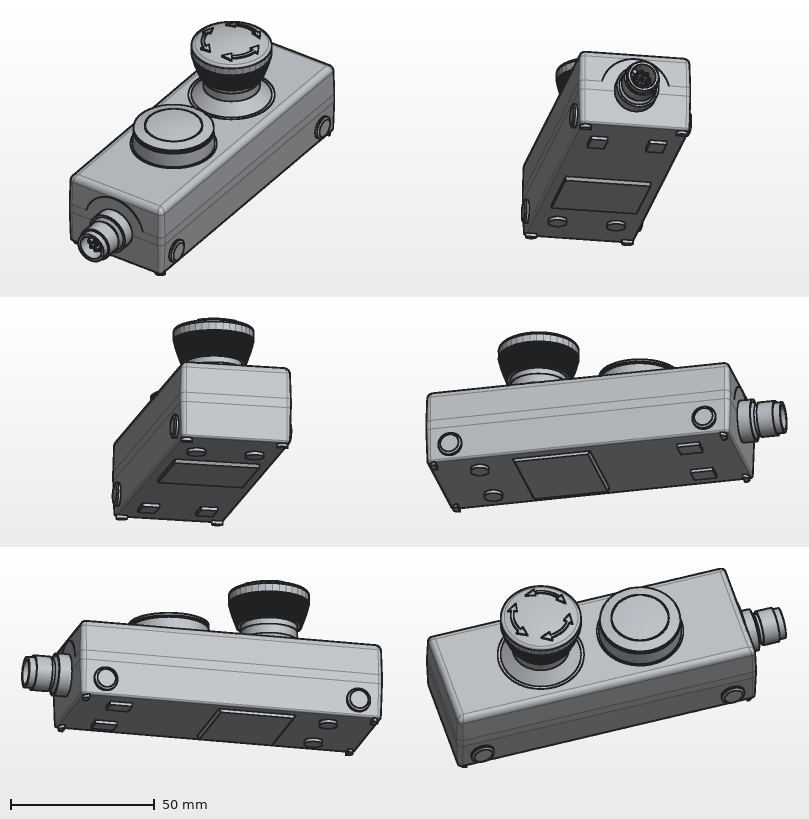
import cadquery as cq
import math

BODY_WIDTH = 39.5
BODY_LENGTH = 108.5
BODY_BOTTOM = 1.2
BAND_BOTTOM = 13.8
BAND_TOP = 17.1
BODY_TOP = 28.6
DRAFT = 2.0
CORNER_RADIUS = 1.8
TOP_FILLET = 2.3
BOTTOM_FILLET = 0.7

CONNECTOR_Z = 14.0
CONNECTOR_LENGTH = 14.7
HOOD_RADIUS = 12.2
FLANGE_LENGTH = 4.4
FLANGE_DIA = 14.8
FLANGE_CONE_DIA = 13.2
NECK_DIA = 10.6
NECK_START = 5.4
THREAD_DIA = 12.2
THREAD_START = 6.5
THREAD_END = 12.2
TIP_DIA = 10.8
BORE_DIA = 8.7
BORE_DEPTH = 8.6
CONTACT_DIA = 1.4
CONTACT_LENGTH = 6.2
CONTACT_TIP_CHAMFER = 0.4
CONTACT_CIRCLE_RADIUS = 2.6
CONTACT_PITCH = 45.0
KEY_ANGLE = 135.0
KEY_WIDTH = 1.5
KEY_INNER_RADIUS = 2.7

BUTTON_SPACING = 36.0
STOP_Y = 18.3
PUSH_Y = STOP_Y - BUTTON_SPACING
COLLAR_DIA = 30.0
COLLAR_HEIGHT = 0.1
COLLAR_TOP = BODY_TOP + COLLAR_HEIGHT

CONE_DIA = 28.0
CONE_TOP = 32.6
SLEEVE_DIA = 19.8
SLEEVE_TOP = 36.0
STEM_DIA = 19.7
CAP_DIA = 28.0
CAP_BOTTOM = 38.2
CAP_BOTTOM_DIA = 22.7
KNURL_BREAK_Z = 43.0
KNURL_BREAK_DIA = 26.1
KNURL_TOP = 46.4
KNURL_TEETH = 72
KNURL_DEPTH = 0.4
KNURL_CREST_SHARE = 0.4
RIM_TOP = 49.4
RIM_FACETS = 36
DOME_DIA = 25.6
DOME_EDGE_Z = 50.4
DOME_TOP = 52.3

ARROW_COUNT = 3
ARROW_HEIGHT = 0.5
ARROW_TIP_ANGLE = 46.0
ARROW_HEAD_ANGLE = 25.5
ARROW_MID_RADIUS = 10.0
ARROW_HEAD_WIDTH = 3.2
ARROW_BAND_WIDTH = 1.0

BEZEL_BASE_DIA = 28.7
BEZEL_MID_DIA = 28.5
BEZEL_GROOVE_DIA = 27.3
BEZEL_GROOVE_BOTTOM = 34.0
BEZEL_GROOVE_TOP = 34.6
BEZEL_TOP = 35.5
PUSH_TOP = 37.4
LENS_GROOVE_DIA = 20.1
LENS_DIA = 19.7
LENS_GROOVE_DEPTH = 0.6

PLUG_DIA = 8.3
PLUG_FACE_DIA = 6.5
PLUG_SPAN = 41.7
PLUG_EDGE_HEIGHT = 0.5
PLUG_Y = 45.3
PLUG_Z = 7.0

PAD_WIDTH = 30.0
PAD_LENGTH = 27.6
PAD_Y = 10.3
PAD_SLOPE = 0.7
BLOCK_WIDTH = 5.9
BLOCK_LENGTH = 7.9
BLOCK_Y = -38.0
PEG_DIA = 6.4
PEG_Y = 37.0
INNER_FOOT_X = 10.3
FOOT_RADIUS = 2.0
FOOT_X = 17.0
FOOT_Y = 50.9

OVERLAP = 0.6


def revolve_about_z(points):
    """Solid of revolution about Z from an outline of (radius, height) points."""
    return cq.Workplane("XZ").polyline(points).close().revolve(360, (0, 0), (0, 1))


def polar(radius, degrees):
    """Point at a radius and an angle from +X."""
    turn = math.radians(degrees)
    return (radius * math.cos(turn), radius * math.sin(turn))


def sphere_radius(half_chord, rise):
    """Radius of the sphere whose cap has the given half chord and rise."""
    return (half_chord**2 + rise**2) / (2 * rise)


def section(z):
    """Rounded rectangle of the enclosure at height z."""
    outline = cq.Sketch().rect(BODY_WIDTH, BODY_LENGTH).vertices().fillet(CORNER_RADIUS)
    return cq.Workplane("XY", origin=(0, 0, z)).placeSketch(outline)


def enclosure():
    cover = section(BAND_TOP).extrude(BODY_TOP - BAND_TOP, taper=DRAFT)
    cover = cover.faces(">Z").edges().fillet(TOP_FILLET)
    band = section(BAND_BOTTOM).extrude(BAND_TOP - BAND_BOTTOM)
    base = section(BAND_BOTTOM).extrude(BODY_BOTTOM - BAND_BOTTOM, taper=DRAFT)
    base = base.faces("<Z").edges().fillet(BOTTOM_FILLET)
    return cover.union(band).union(base)


def connector_hood():
    """Upright arched face above the connector, standing proud of the drafted cover."""
    end_plane = cq.Workplane("XZ", origin=(0, -BODY_LENGTH / 2, CONNECTOR_Z))
    disc = end_plane.circle(HOOD_RADIUS).extrude(-2 * OVERLAP)
    keep_height = HOOD_RADIUS + OVERLAP
    keep = cq.Workplane("XY", origin=(0, -BODY_LENGTH / 2, BAND_TOP)).box(
        2 * HOOD_RADIUS, 4 * OVERLAP, keep_height, centered=(True, True, False)
    )
    return disc.intersect(keep)


def connector():
    """Round plug built along Z, then laid over to point along -Y."""
    floor = CONNECTOR_LENGTH - BORE_DEPTH
    shell = revolve_about_z([
        (0, -OVERLAP),
        (FLANGE_DIA / 2, -OVERLAP),
        (FLANGE_DIA / 2, FLANGE_LENGTH),
        (FLANGE_CONE_DIA / 2, FLANGE_LENGTH),
        (NECK_DIA / 2, NECK_START),
        (NECK_DIA / 2, THREAD_START),
        (THREAD_DIA / 2, THREAD_START),
        (THREAD_DIA / 2, THREAD_END),
        (TIP_DIA / 2, THREAD_END),
        (TIP_DIA / 2, CONNECTOR_LENGTH),
        (BORE_DIA / 2, CONNECTOR_LENGTH),
        (BORE_DIA / 2, floor),
        (0, floor),
    ])
    places = [(0, 0)]
    for step in range(round(360 / CONTACT_PITCH)):
        angle = step * CONTACT_PITCH
        if angle != KEY_ANGLE:
            places.append(polar(CONTACT_CIRCLE_RADIUS, angle))
    start = floor - OVERLAP
    contacts = cq.Workplane("XY", origin=(0, 0, start)).pushPoints(places)
    contacts = contacts.circle(CONTACT_DIA / 2).extrude(CONTACT_LENGTH + OVERLAP)
    contacts = contacts.faces(">Z").chamfer(CONTACT_TIP_CHAMFER)
    key_depth = BORE_DIA / 2 + OVERLAP - KEY_INNER_RADIUS
    key = cq.Workplane("XY", origin=(0, 0, start)).center(KEY_INNER_RADIUS + key_depth / 2, 0)
    key = key.rect(key_depth, KEY_WIDTH).extrude(CONTACT_LENGTH + OVERLAP)
    key = key.rotate((0, 0, 0), (0, 0, 1), KEY_ANGLE)
    plug = shell.union(contacts).union(key)
    plug = plug.rotate((0, 0, 0), (1, 0, 0), 90)
    return plug.translate((0, -BODY_LENGTH / 2, CONNECTOR_Z))


def dome(lift):
    """Spherical crown of the stop button raised by lift, on the button axis."""
    edge_radius = DOME_DIA / 2
    rise = DOME_TOP - DOME_EDGE_Z
    radius = sphere_radius(edge_radius, rise)
    mid_radius = edge_radius / 2
    mid_z = DOME_TOP - radius + math.sqrt(radius**2 - mid_radius**2)
    return (
        cq.Workplane("XZ")
        .moveTo(0, RIM_TOP)
        .lineTo(edge_radius, RIM_TOP)
        .lineTo(edge_radius, DOME_EDGE_Z + lift)
        .threePointArc((mid_radius, mid_z + lift), (0, DOME_TOP + lift))
        .close()
        .revolve(360, (0, 0), (0, 1))
    )


def turn_arrows():
    """Double-headed curved arrows following the dome."""
    head_inner = ARROW_MID_RADIUS - ARROW_HEAD_WIDTH / 2
    head_outer = ARROW_MID_RADIUS + ARROW_HEAD_WIDTH / 2
    inner = ARROW_MID_RADIUS - ARROW_BAND_WIDTH / 2
    outer = ARROW_MID_RADIUS + ARROW_BAND_WIDTH / 2
    blanks = cq.Workplane("XY")
    for index in range(ARROW_COUNT):
        middle = 90 + index * 360 / ARROW_COUNT
        left = middle + ARROW_HEAD_ANGLE
        right = middle - ARROW_HEAD_ANGLE
        outline = (
            cq.Workplane("XY", origin=(0, 0, RIM_TOP))
            .moveTo(*polar(outer, left))
            .lineTo(*polar(head_outer, left))
            .lineTo(*polar(ARROW_MID_RADIUS, middle + ARROW_TIP_ANGLE))
            .lineTo(*polar(head_inner, left))
            .lineTo(*polar(inner, left))
            .threePointArc(polar(inner, middle), polar(inner, right))
            .lineTo(*polar(head_inner, right))
            .lineTo(*polar(ARROW_MID_RADIUS, middle - ARROW_TIP_ANGLE))
            .lineTo(*polar(head_outer, right))
            .lineTo(*polar(outer, right))
            .threePointArc(polar(outer, middle), polar(outer, left))
            .close()
        )
        blanks = blanks.add(outline.extrude(DOME_TOP - RIM_TOP))
    return blanks.combine().intersect(dome(ARROW_HEIGHT))


def knurl_outline(diameter):
    """Toothed outline: each tooth has a flat crest and a V-shaped valley beside it."""
    pitch = 360 / KNURL_TEETH
    crest = diameter / 2
    crest_angle = KNURL_CREST_SHARE * pitch
    valley_angle = (crest_angle + pitch) / 2
    points = []
    for tooth in range(KNURL_TEETH):
        start = tooth * pitch
        points.append(polar(crest, start))
        points.append(polar(crest, start + crest_angle))
        points.append(polar(crest - KNURL_DEPTH, start + valley_angle))
    return points


def knurl_stage(bottom_z, bottom_dia, top_z, top_dia):
    """Tapered length of knurl between two heights."""
    return (
        cq.Workplane("XY", origin=(0, 0, bottom_z))
        .polyline(knurl_outline(bottom_dia))
        .close()
        .workplane(offset=top_z - bottom_z)
        .polyline(knurl_outline(top_dia))
        .close()
        .loft(ruled=True)
    )


def knurl():
    lower = knurl_stage(CAP_BOTTOM, CAP_BOTTOM_DIA, KNURL_BREAK_Z, KNURL_BREAK_DIA)
    upper = knurl_stage(KNURL_BREAK_Z, KNURL_BREAK_DIA, KNURL_TOP, CAP_DIA)
    return lower.union(upper)


def stop_button():
    socket = revolve_about_z([
        (0, BODY_TOP - OVERLAP),
        (COLLAR_DIA / 2, BODY_TOP - OVERLAP),
        (COLLAR_DIA / 2, COLLAR_TOP),
        (CONE_DIA / 2, COLLAR_TOP),
        (SLEEVE_DIA / 2, CONE_TOP),
        (SLEEVE_DIA / 2, SLEEVE_TOP),
        (STEM_DIA / 2, SLEEVE_TOP),
        (STEM_DIA / 2, CAP_BOTTOM),
        (0, CAP_BOTTOM),
    ])
    rim = cq.Workplane("XY", origin=(0, 0, KNURL_TOP)).polygon(RIM_FACETS, CAP_DIA)
    rim = rim.extrude(RIM_TOP - KNURL_TOP)
    cap_radius = CAP_DIA / 2
    dome_radius = DOME_DIA / 2
    bulge = math.sqrt(0.5)
    shoulder_middle = (
        dome_radius + bulge * (cap_radius - dome_radius),
        RIM_TOP + bulge * (DOME_EDGE_Z - RIM_TOP),
    )
    shoulder = (
        cq.Workplane("XZ")
        .moveTo(0, RIM_TOP)
        .lineTo(cap_radius, RIM_TOP)
        .threePointArc(shoulder_middle, (dome_radius, DOME_EDGE_Z))
        .lineTo(0, DOME_EDGE_Z)
        .close()
        .revolve(360, (0, 0), (0, 1))
    )
    button = socket.union(knurl()).union(rim).union(shoulder).union(dome(0)).union(turn_arrows())
    return button.translate((0, STOP_Y, 0))


def push_button():
    edge_radius = CAP_DIA / 2
    radius = sphere_radius(edge_radius, PUSH_TOP - BEZEL_TOP)
    lens_radius = LENS_DIA / 2
    lens_z = PUSH_TOP - radius + math.sqrt(radius**2 - lens_radius**2)
    button = (
        cq.Workplane("XZ")
        .moveTo(0, BODY_TOP - OVERLAP)
        .lineTo(COLLAR_DIA / 2, BODY_TOP - OVERLAP)
        .lineTo(COLLAR_DIA / 2, COLLAR_TOP)
        .lineTo(BEZEL_BASE_DIA / 2, COLLAR_TOP)
        .threePointArc(
            (BEZEL_MID_DIA / 2, (COLLAR_TOP + BEZEL_GROOVE_BOTTOM) / 2),
            (edge_radius, BEZEL_GROOVE_BOTTOM),
        )
        .lineTo(BEZEL_GROOVE_DIA / 2, BEZEL_GROOVE_BOTTOM)
        .lineTo(BEZEL_GROOVE_DIA / 2, BEZEL_GROOVE_TOP)
        .lineTo(edge_radius, BEZEL_GROOVE_TOP)
        .lineTo(edge_radius, BEZEL_TOP)
        .threePointArc((lens_radius, lens_z), (0, PUSH_TOP))
        .close()
        .revolve(360, (0, 0), (0, 1))
    )
    lens_groove = cq.Workplane("XY", origin=(0, 0, lens_z - LENS_GROOVE_DEPTH))
    lens_groove = lens_groove.circle(LENS_GROOVE_DIA / 2).circle(lens_radius).extrude(PUSH_TOP - lens_z)
    return button.cut(lens_groove).translate((0, PUSH_Y, 0))


def side_plugs(body):
    edge_inset = (PLUG_DIA - PLUG_FACE_DIA) / 2
    for y in (-PLUG_Y, PLUG_Y):
        bar = cq.Workplane("YZ", origin=(-PLUG_SPAN / 2, y, PLUG_Z)).circle(PLUG_DIA / 2).extrude(PLUG_SPAN)
        bar = bar.faces("<X").chamfer(PLUG_EDGE_HEIGHT, edge_inset)
        bar = bar.faces(">X").chamfer(PLUG_EDGE_HEIGHT, edge_inset)
        body = body.union(bar)
    return body


def underside():
    height = BODY_BOTTOM + OVERLAP
    ground = cq.Workplane("XY")
    half_length = PAD_LENGTH / 2
    pad = (
        cq.Workplane("YZ", origin=(-PAD_WIDTH / 2, PAD_Y, 0))
        .moveTo(PAD_SLOPE - half_length, 0)
        .lineTo(half_length - PAD_SLOPE, 0)
        .lineTo(half_length, BODY_BOTTOM)
        .lineTo(half_length, height)
        .lineTo(-half_length, height)
        .lineTo(-half_length, BODY_BOTTOM)
        .close()
        .extrude(PAD_WIDTH)
    )
    sides = (-INNER_FOOT_X, INNER_FOOT_X)
    blocks = ground.pushPoints([(x, BLOCK_Y) for x in sides]).rect(BLOCK_WIDTH, BLOCK_LENGTH).extrude(height)
    pegs = ground.pushPoints([(x, PEG_Y) for x in sides]).circle(PEG_DIA / 2).extrude(height)
    parts = pad.union(blocks).union(pegs)
    for x in (-FOOT_X, FOOT_X):
        for end in (-1, 1):
            y = end * FOOT_Y
            foot = ground.moveTo(x - FOOT_RADIUS, y)
            foot = foot.threePointArc((x, y + end * FOOT_RADIUS), (x + FOOT_RADIUS, y)).close()
            parts = parts.union(foot.extrude(height))
    return parts


result = side_plugs(enclosure())
for feature in (connector_hood(), connector(), underside(), stop_button(), push_button()):
    result = result.union(feature)